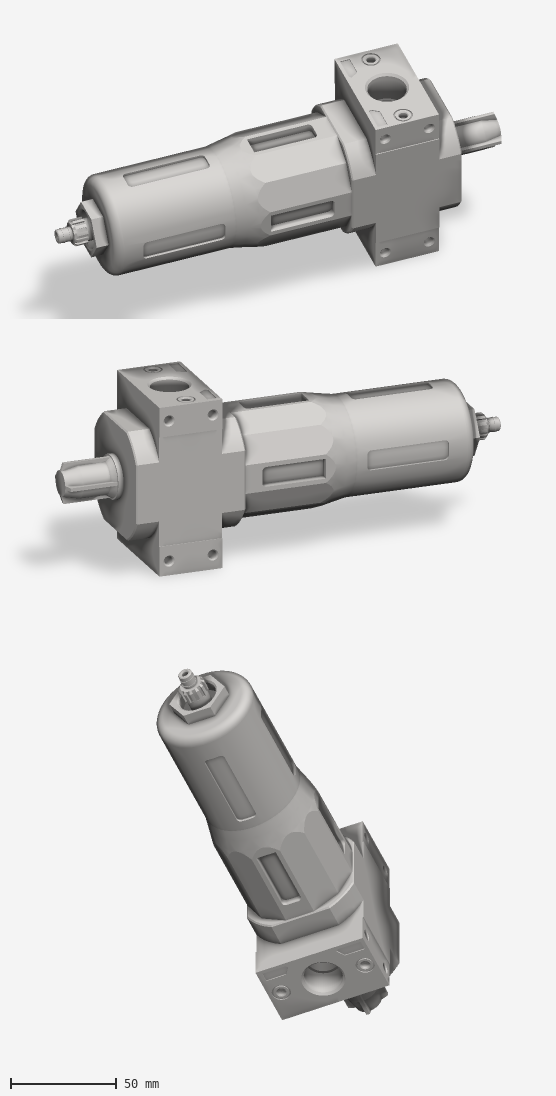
import cadquery as cq
import math


total_length = 222.2
total_height = 85.0

block_side = 55.0
block_half = block_side / 2
block_back_y = 27.5
block_front_y = -28.0
corner_diameter = 62.7
end_chamfer = 0.7
passage_diameter = 16.0

plate_width = block_side
plate_length = 32.0
plate_thickness = (total_height - block_side) / 2
plate_top = block_half + plate_thickness
plate_offset = -0.5
port_diameter = 18.7
port_mouth_diameter = 20.9
side_hole_diameter = 4.2
side_hole_mouth_diameter = 5.5
side_hole_depth = 8.9
side_hole_spacing = 22.2
side_hole_height = 35.3
mark_depth = 0.5
mark_length = 12.9
mark_width = 4.9
mark_tip = 2.7
mark_corner = 1.0
mark_center_y = -11.8
mark_outer_x = 25.3
drill_tip_slope = math.radians(30)

screw_x = 21.5
screw_diameter = 7.5
screw_recess_diameter = 9.0
screw_recess_depth = 0.7
socket_mouth_diameter = 5.0
socket_diameter = 4.2
socket_depth = 3.3

facet_count = 12
facet_width = 53.8
neck_start_y = -68.9
barrel_top_y = -85.5
barrel_diameter = 49.3
bowl_end_y = -146.0
bowl_end_fillet = 4.2
hex_end_y = -152.0
hex_width = 23.5
hex_corner_width = 28.5
hex_flat_length = 13.8
hex_bore_diameter = 18.7
hex_mouth_diameter = 20.5
window_count = 4
window_width = 10.0
window_corner = 2.0
window_floor_diameter = 46.7
upper_window_y = (-68.9, -36.7)
lower_window_y = (-132.2, -90.9)

knob_end_y = 55.3
collar_diameter = 22.0
collar_end_y = 30.2
flare_end_y = 33.0
stem_diameter = 16.5
taper_start_y = 46.9
stem_tip_diameter = 12.7
fin_count = 4
fin_span = 20.5
fin_thickness = 1.8
fin_end_drop = 1.3

drain_end_y = knob_end_y - total_length
drain_neck_diameter = 11.0
grip_diameter = 13.0
grip_start_y = -153.0
grip_end_y = -159.8
grip_chamfer = 1.0
groove_count = 12
groove_width = 1.8
groove_floor_diameter = 10.7
spout_diameter = 6.9
spout_ring_diameter = 7.3
spout_tip_chamfer = 0.5
first_ring_y = (-161.3, -161.0)
second_ring_y = (-164.5, -163.8)
drain_bore_diameter = 3.0
drain_bore_mouth_diameter = 4.2
drain_bore_depth = 4.5


def cylinder_y(diameter, start_y, end_y):
    """Solid cylinder on the Y axis between two Y positions."""
    low_y, high_y = sorted((start_y, end_y))
    return cq.Workplane("XZ", origin=(0, high_y, 0)).circle(diameter / 2).extrude(high_y - low_y)


def cone_y(start_diameter, start_y, end_diameter, end_y):
    """Solid truncated cone on the Y axis."""
    profile = [(0, start_y), (start_diameter / 2, start_y), (end_diameter / 2, end_y), (0, end_y)]
    return cq.Workplane("XY").polyline(profile).close().revolve(360, (0, 0, 0), (0, 1, 0))


def drilled_hole(mouth_diameter, diameter, depth):
    """Blind hole cutter going down from z = 0, with a 45 degree mouth and a conical bottom."""
    mouth_depth = (mouth_diameter - diameter) / 2
    tip_depth = depth + diameter / 2 * math.tan(drill_tip_slope)
    profile = [
        (0, 0), (mouth_diameter / 2, 0), (diameter / 2, -mouth_depth),
        (diameter / 2, -depth), (0, -tip_depth),
    ]
    return cq.Workplane("XZ").polyline(profile).close().revolve(360, (0, 0, 0), (0, 1, 0))


def make_housing():
    rounded = cq.Workplane("XZ", origin=(0, block_back_y, 0)).rect(block_side, block_side)
    rounded = rounded.extrude(block_back_y - block_front_y)
    rounded = rounded.intersect(cylinder_y(corner_diameter, block_front_y, block_back_y))
    rounded = rounded.faces("<Y or >Y").chamfer(end_chamfer)
    middle = cq.Workplane("XY").box(block_side, plate_length, block_side)
    passage = cq.Workplane("XY").circle(passage_diameter / 2).extrude(block_half, both=True)
    return rounded.union(middle).cut(passage)


def make_mark():
    """Pointed label recess near the -X edge of the plate, pointing to +X."""
    left = -mark_outer_x
    right = left + mark_length
    half = mark_width / 2
    outline = [
        (left, -half), (right - mark_corner, -half), (right, mark_corner - half),
        (right - mark_tip, half), (left, half),
    ]
    mark = cq.Workplane("XY", origin=(0, mark_center_y, plate_top - mark_depth))
    return mark.polyline(outline).close().extrude(mark_depth)


def make_plate():
    """Port plate on the +Z side of the housing."""
    plate = cq.Workplane("XY").box(plate_width, plate_length, plate_thickness, centered=(True, True, False))
    plate = plate.translate((plate_offset, 0, block_half))

    port = cq.Workplane("XY", origin=(0, 0, block_half)).circle(port_diameter / 2)
    plate = plate.cut(port.extrude(plate_thickness))
    mouth_depth = (port_mouth_diameter - port_diameter) / 2
    mouth = cq.Workplane("XY", origin=(0, 0, plate_top)).circle(port_mouth_diameter / 2)
    plate = plate.cut(mouth.extrude(-mouth_depth, taper=45))

    screw_holes = cq.Workplane("XY", origin=(0, 0, plate_top)).pushPoints([(-screw_x, 0), (screw_x, 0)])
    plate = plate.cut(screw_holes.circle(screw_diameter / 2).extrude(-plate_thickness))
    plate = plate.cut(screw_holes.circle(screw_recess_diameter / 2).extrude(-screw_recess_depth))

    side_hole = drilled_hole(side_hole_mouth_diameter, side_hole_diameter, side_hole_depth)
    for side in (-1, 1):
        turned_hole = side_hole.rotate((0, 0, 0), (0, 1, 0), side * 90)
        side_x = plate_offset + side * plate_width / 2
        for hole_y in (-side_hole_spacing / 2, side_hole_spacing / 2):
            plate = plate.cut(turned_hole.translate((side_x, hole_y, side_hole_height)))

    mark = make_mark()
    return plate.cut(mark).cut(mark.mirror("YZ"))


def make_screw():
    """Screw in the +Z plate, standing on the Z axis."""
    screw = cq.Workplane("XY").circle(screw_diameter / 2).extrude(plate_thickness)
    socket = drilled_hole(socket_mouth_diameter, socket_diameter, socket_depth)
    screw = screw.cut(socket.translate((0, 0, plate_thickness)))
    return screw.translate((0, 0, block_half))


def make_window(y_range, rounded_edges):
    """Cutter for a window on the +Z side, with a floor that is round about the bowl axis."""
    low_y, high_y = y_range
    window = cq.Workplane("XY", origin=(0, (low_y + high_y) / 2, 0))
    window = window.rect(window_width, high_y - low_y).extrude(block_half)
    window = window.edges(rounded_edges).fillet(window_corner)
    return window.cut(cylinder_y(window_floor_diameter, low_y, high_y))


def make_bowl():
    corner_to_corner = facet_width / math.cos(math.pi / facet_count)
    facets = cq.Workplane("XZ", origin=(0, block_front_y, 0)).polygon(facet_count, corner_to_corner)
    facets = facets.extrude(block_front_y - barrel_top_y)
    facets = facets.rotate((0, 0, 0), (0, 1, 0), 180 / facet_count)
    envelope = cylinder_y(corner_diameter, block_front_y, neck_start_y)
    envelope = envelope.union(cone_y(corner_to_corner, neck_start_y, barrel_diameter, barrel_top_y))
    bowl = facets.intersect(envelope)

    barrel = cylinder_y(barrel_diameter, barrel_top_y, bowl_end_y).faces("<Y").edges().fillet(bowl_end_fillet)
    bowl = bowl.union(barrel)

    tip_x = hex_corner_width / 2
    flat_x = hex_flat_length / 2
    flat_z = hex_width / 2
    hex_outline = [
        (tip_x, 0), (flat_x, flat_z), (-flat_x, flat_z),
        (-tip_x, 0), (-flat_x, -flat_z), (flat_x, -flat_z),
    ]
    hexagon = cq.Workplane("XZ", origin=(0, bowl_end_y, 0)).polyline(hex_outline).close()
    bowl = bowl.union(hexagon.extrude(bowl_end_y - hex_end_y))
    bowl = bowl.cut(cylinder_y(hex_bore_diameter, bowl_end_y, hex_end_y))
    mouth_depth = (hex_mouth_diameter - hex_bore_diameter) / 2
    bowl = bowl.cut(cone_y(hex_mouth_diameter, hex_end_y, hex_bore_diameter, hex_end_y + mouth_depth))

    upper_window = make_window(upper_window_y, "|Z and >Y")
    lower_window = make_window(lower_window_y, "|Z")
    for window in (upper_window, lower_window):
        for index in range(window_count):
            bowl = bowl.cut(window.rotate((0, 0, 0), (0, 1, 0), index * 360 / window_count))
    return bowl


def make_knob():
    profile = [
        (0, block_back_y), (collar_diameter / 2, block_back_y), (collar_diameter / 2, collar_end_y),
        (fin_span / 2, collar_end_y), (stem_diameter / 2, flare_end_y), (stem_diameter / 2, taper_start_y),
        (stem_tip_diameter / 2, knob_end_y), (0, knob_end_y),
    ]
    knob = cq.Workplane("XY").polyline(profile).close().revolve(360, (0, 0, 0), (0, 1, 0))

    fin_profile = [
        (0, collar_end_y), (fin_span / 2, collar_end_y), (fin_span / 2, knob_end_y - fin_end_drop),
        (stem_tip_diameter / 2, knob_end_y), (0, knob_end_y),
    ]
    fin = cq.Workplane("XY").polyline(fin_profile).close().extrude(fin_thickness / 2, both=True)
    for index in range(fin_count):
        knob = knob.union(fin.rotate((0, 0, 0), (0, 1, 0), index * 360 / fin_count))
    return knob


def make_drain():
    neck = cylinder_y(drain_neck_diameter, bowl_end_y, grip_start_y)

    grip = cylinder_y(grip_diameter, grip_start_y, grip_end_y).faces("<Y").chamfer(grip_chamfer)
    grip_length = grip_start_y - grip_end_y
    groove = cq.Workplane("XY").box(groove_width, grip_length, grip_diameter)
    groove = groove.translate((0, grip_end_y + grip_length / 2, (groove_floor_diameter + grip_diameter) / 2))
    for index in range(groove_count):
        grip = grip.cut(groove.rotate((0, 0, 0), (0, 1, 0), (index + 0.5) * 360 / groove_count))

    spout = cylinder_y(spout_diameter, grip_end_y, drain_end_y).faces("<Y").chamfer(spout_tip_chamfer)
    for start_y, end_y in (first_ring_y, second_ring_y):
        spout = spout.union(cylinder_y(spout_ring_diameter, start_y, end_y))
    bore = cylinder_y(drain_bore_diameter, drain_end_y, drain_end_y + drain_bore_depth)
    mouth_depth = (drain_bore_mouth_diameter - drain_bore_diameter) / 2
    mouth_end_y = drain_end_y + mouth_depth
    mouth = cone_y(drain_bore_mouth_diameter, drain_end_y, drain_bore_diameter, mouth_end_y)
    return neck.union(grip).union(spout).cut(bore).cut(mouth)


housing = make_housing()
bowl = make_bowl()
knob = make_knob()
drain = make_drain()

upper_plate = make_plate()
plates = [upper_plate, upper_plate.mirror("XY")]

upper_screw = make_screw()
screws = []
for side_screw in (upper_screw, upper_screw.mirror("XY")):
    for position_x in (-screw_x, screw_x):
        screws.append(side_screw.translate((position_x, 0, 0)))

bodies = [housing, bowl, knob, drain, *plates, *screws]
result = cq.Compound.makeCompound([body.solids().val() for body in bodies])